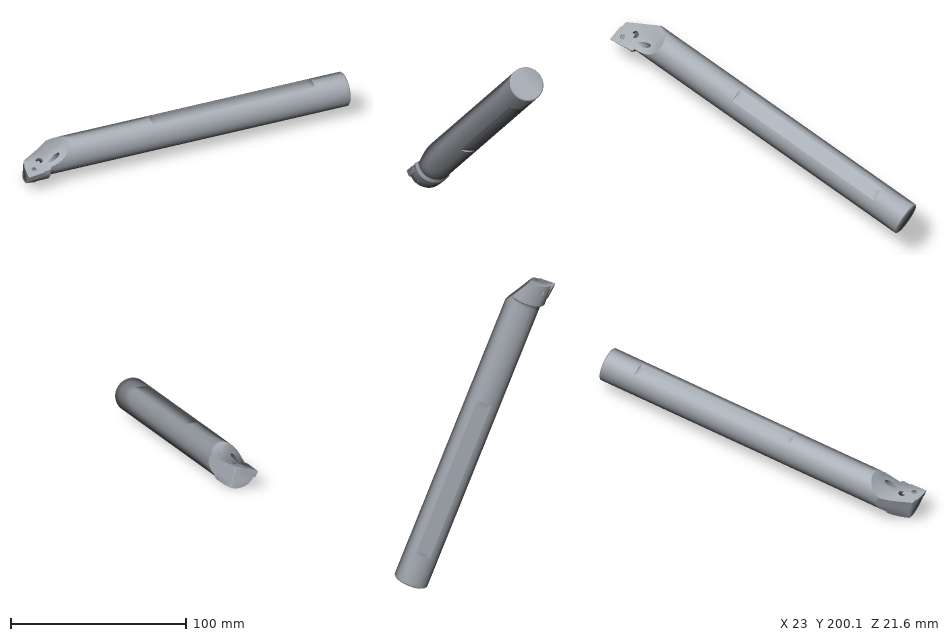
import cadquery as cq
import math

BAR_LENGTH = 200.1
BAR_RADIUS = 10.0
HEAD_LENGTH = 31.0
REAR_CHAMFER = 0.6
FLAT_START = 80.0
FLAT_LENGTH = 100.0
FLAT_HEIGHT = 9.0

BULGE_RADIUS = 11.0
BULGE_X = 0.8
BULGE_Z = -0.6
BULGE_LENGTH = 15.0
BULGE_CHAMFER = 1.0

TIP_X = 13.2
TIP_Y = -0.05
TIP_Z = -1.7
RAKE_SLOPE_X = 0.23
RAKE_SLOPE_Y = 0.04
RAKE = cq.Plane(
    origin=(TIP_X, TIP_Y, TIP_Z),
    xDir=(1, 0, -RAKE_SLOPE_X),
    normal=(RAKE_SLOPE_X, -RAKE_SLOPE_Y, 1),
)

LEAD_ANGLE = 5.0
END_SETBACK = 0.6
FLANK_FOOT_X = -13.6
FLANK_FOOT_Y = 2.2
FLANK_ANGLE = 62.0
CORNER_WIDTH = 1.0
CLEAR = 40.0

SCOOP_START = 11.2
SCOOP_RADIUS = 24.0
SCOOP_MIDDLE_ANGLE = -45.0

INSERT_WIDTH = 9.6
INSERT_ANGLE = 80.0
INSERT_THICKNESS = 4.0
INSERT_CLEARANCE = 7.0
NOSE_RADIUS = 0.5
INSERT_SIDE = INSERT_WIDTH / math.sin(math.radians(INSERT_ANGLE))
RELIEF_DIAMETER = 4.0

SCREW_HEAD_DIAMETER = 5.5
SCREW_HEAD_HEIGHT = 1.6
SCREW_DIAMETER = 4.0
SCREW_LENGTH = 9.0
SOCKET_DIAMETER = 2.5
SOCKET_DEPTH = 1.0
LOBE_COUNT = 6
LOBE_DIAMETER = 0.8

COOLANT_DIAMETER = 3.0
COOLANT_MOUTH = cq.Vector(5.2, 18.6, 2.5)
COOLANT_DIRECTION = cq.Vector(0.3, -1, -0.06).normalized()
COOLANT_DEPTH = 8.0


def polar(length, angle):
    """Vector of a given length at an angle in degrees from local X."""
    turn = math.radians(angle)
    return (length * math.cos(turn), length * math.sin(turn))


END_EDGE = polar(INSERT_SIDE, 180 - LEAD_ANGLE)
SIDE_EDGE = polar(INSERT_SIDE, 180 - LEAD_ANGLE - INSERT_ANGLE)
INNER_CORNER = (END_EDGE[0] + SIDE_EDGE[0], END_EDGE[1] + SIDE_EDGE[1])
INSERT_CENTER = (INNER_CORNER[0] / 2, INNER_CORNER[1] / 2)


def bar(radius, start, end, x=0, z=0):
    """Cylinder along Y between two stations."""
    return cq.Workplane("XZ", origin=(x, start, z)).circle(radius).extrude(start - end)


def make_shank():
    shank = bar(BAR_RADIUS, HEAD_LENGTH, BAR_LENGTH).faces(">Y").chamfer(REAR_CHAMFER)
    between_flats = cq.Workplane("XY").box(2 * BAR_RADIUS, FLAT_LENGTH, 2 * FLAT_HEIGHT)
    flat_stretch = cq.Workplane("XY").box(2 * BAR_RADIUS, FLAT_LENGTH, 2 * BAR_RADIUS)
    removed = flat_stretch.cut(between_flats)
    return shank.cut(removed.translate((0, FLAT_START + FLAT_LENGTH / 2, 0)))


def head_outline():
    """Prism square to the rake plane: end face, corner facet and slanted flank."""
    end_slope = math.tan(math.radians(LEAD_ANGLE))
    facet_x = FLANK_FOOT_X + CORNER_WIDTH
    flank_top = polar(2 * CLEAR, 180 - FLANK_ANGLE)
    points = [
        (CLEAR, END_SETBACK - CLEAR * end_slope),
        (facet_x, END_SETBACK - facet_x * end_slope),
        (FLANK_FOOT_X, FLANK_FOOT_Y),
        (FLANK_FOOT_X + flank_top[0], FLANK_FOOT_Y + flank_top[1]),
        (CLEAR, FLANK_FOOT_Y + flank_top[1]),
    ]
    return cq.Workplane(RAKE).polyline(points).close().extrude(CLEAR, both=True)


def chip_scoop():
    """Space above the rake plane, ending in a cylindrical run-out."""
    side = cq.Plane(origin=RAKE.toWorldCoords((-CLEAR, 0, 0)), xDir=RAKE.yDir, normal=RAKE.xDir)
    middle = polar(SCOOP_RADIUS, SCOOP_MIDDLE_ANGLE)
    return (
        cq.Workplane(side)
        .moveTo(-CLEAR, 0)
        .lineTo(SCOOP_START, 0)
        .threePointArc(
            (SCOOP_START + middle[0], SCOOP_RADIUS + middle[1]),
            (SCOOP_START + SCOOP_RADIUS, SCOOP_RADIUS),
        )
        .lineTo(-CLEAR, SCOOP_RADIUS)
        .close()
        .extrude(2 * CLEAR)
    )


def insert_blank():
    rhombus = cq.Workplane(RAKE).polyline([(0, 0), SIDE_EDGE, INNER_CORNER, END_EDGE]).close()
    return rhombus.extrude(-INSERT_THICKNESS, taper=INSERT_CLEARANCE)


def screw_blank():
    center = cq.Workplane(RAKE).center(*INSERT_CENTER)
    head = center.circle(SCREW_HEAD_DIAMETER / 2).extrude(-SCREW_HEAD_HEIGHT)
    stem = center.circle(SCREW_DIAMETER / 2).extrude(-SCREW_LENGTH)
    return head.union(stem)


def make_screw():
    center = cq.Workplane(RAKE).center(*INSERT_CENTER)
    socket = center.circle(SOCKET_DIAMETER / 2).extrude(-SOCKET_DEPTH)
    lobes = center.polarArray(SOCKET_DIAMETER / 2, 0, 360, LOBE_COUNT)
    socket = socket.union(lobes.circle(LOBE_DIAMETER / 2).extrude(-SOCKET_DEPTH))
    return screw_blank().cut(socket)


def make_insert():
    return insert_blank().edges(">X").edges("<Y").fillet(NOSE_RADIUS).cut(screw_blank())


def make_head():
    bulge = bar(BULGE_RADIUS, -BULGE_LENGTH, BULGE_LENGTH, BULGE_X, BULGE_Z)
    bulge = bulge.faces(">Y").chamfer(BULGE_CHAMFER)
    head = bar(BAR_RADIUS, -BULGE_LENGTH, HEAD_LENGTH).union(bulge)
    head = head.intersect(head_outline()).cut(chip_scoop())

    relief = cq.Workplane(RAKE).center(*INNER_CORNER).circle(RELIEF_DIAMETER / 2)
    relief = relief.extrude(INSERT_THICKNESS, both=True)
    coolant = cq.Solid.makeCylinder(
        COOLANT_DIAMETER / 2,
        COOLANT_DEPTH + CLEAR,
        COOLANT_MOUTH - COOLANT_DIRECTION * COOLANT_DEPTH,
        COOLANT_DIRECTION,
    )
    return head.cut(insert_blank()).cut(screw_blank()).cut(relief).cut(cq.Workplane(coolant))


shank = make_shank()
head = make_head()
insert = make_insert()
screw = make_screw()
bodies = [shank, head, insert, screw]
result = cq.Compound.makeCompound([body.solids().val() for body in bodies])